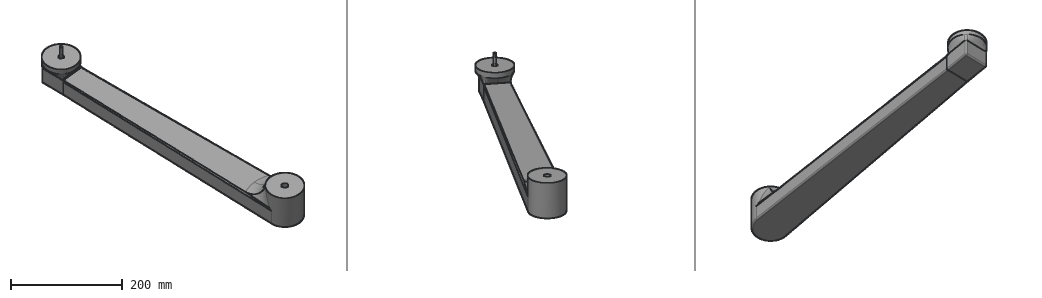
import cadquery as cq
import math

reach_x = 500.0
reach_y = 206.5
axis_distance = math.hypot(reach_x, reach_y)
arm_angle = math.degrees(math.atan2(reach_y, reach_x))

beam_top = 35.5
collar_bottom = 49.0
collar_top = 60.0
elbow_top = 70.0
pin_top = 83.0

joint_radius = 35.05
socket_half_width = 25.0
socket_front = 27.5

edge_radius = 3.0
corner_radius = 3.5
shoulder_drop = 3.5
shoulder_inset_at_socket = 1.0
shoulder_inset_at_elbow = 3.0

pin_radius = 2.5
socket_bore_radius = 5.0
socket_bore_depth = collar_top - collar_bottom
elbow_bore_radius = 6.0
elbow_bore_depth = elbow_top - beam_top

flare_reach = 74.0
flare_top_radius = joint_radius - 0.1
flare_root_radius = joint_radius - 0.15
flare_base_half_angle = 24.5
flare_top_half_angle = 44.0
flare_steps = 5

flare_height = elbow_top - beam_top
flare_depth = flare_reach - flare_top_radius
flare_radius = (flare_depth**2 + flare_height**2) / (2 * flare_height)
flare_sweep = math.asin(flare_depth / flare_radius)


def polar(radius, angle):
    """Point around the elbow axis; zero degrees points back along the beam."""
    turn = math.radians(angle)
    return (axis_distance - radius * math.cos(turn), radius * math.sin(turn))


def mirrored(point):
    return (point[0], -point[1])


def make_socket():
    """Square block that changes to a round collar, bored for the pin."""
    middle = (socket_front - socket_half_width) / 2
    block = (
        cq.Workplane("XY").center(middle, 0)
        .rect(socket_front + socket_half_width, 2 * socket_half_width).extrude(beam_top)
        .edges("|Z and <X").fillet(corner_radius)
        .faces("<Z").edges("not >X").fillet(edge_radius)
    )
    square_end = (
        cq.Sketch().rect(2 * socket_half_width, 2 * socket_half_width).vertices().fillet(corner_radius)
    )
    round_end = cq.Sketch().circle(joint_radius)
    neck_rise = cq.Location(cq.Vector(0, 0, collar_bottom - beam_top))
    neck = (
        cq.Workplane("XY").workplane(offset=beam_top)
        .placeSketch(square_end, round_end.moved(neck_rise)).loft(ruled=True)
    )
    collar = (
        cq.Workplane("XY").workplane(offset=collar_bottom)
        .circle(joint_radius).extrude(collar_top - collar_bottom)
    )
    bore = (
        cq.Workplane("XY").workplane(offset=collar_top)
        .circle(socket_bore_radius).extrude(-socket_bore_depth)
    )
    return block.union(neck).union(collar).cut(bore)


def make_pin():
    """Shaft that stands on the floor of the socket bore."""
    floor = collar_top - socket_bore_depth
    return cq.Workplane("XY").workplane(offset=floor).circle(pin_radius).extrude(pin_top - floor)


def beam_outline(level, half_width, end_radius):
    """Tapered outline whose sides run tangent into a round end about the elbow axis."""
    run = axis_distance - socket_front
    tangent_angle = math.degrees(
        math.atan2(half_width, run) + math.acos(end_radius / math.hypot(run, half_width))
    )
    corner = (socket_front, half_width)
    touch = polar(end_radius, tangent_angle)
    return (
        cq.Workplane("XY").workplane(offset=level)
        .moveTo(*mirrored(corner))
        .lineTo(*mirrored(touch))
        .threePointArc(polar(end_radius, 180), touch)
        .lineTo(*corner)
        .close()
    )


def make_beam():
    """Tapered beam with a rounded underside and sloped shoulders along the top."""
    shoulder = beam_top - shoulder_drop
    base = beam_outline(0, socket_half_width, joint_radius).extrude(shoulder)
    base = base.faces("<Z").edges("not <X").fillet(edge_radius)
    lower = beam_outline(shoulder, socket_half_width, joint_radius)
    upper = beam_outline(
        beam_top,
        socket_half_width - shoulder_inset_at_socket,
        joint_radius - shoulder_inset_at_elbow,
    )
    shoulders = cq.Solid.makeLoft([lower.val(), upper.val()], True)
    return base.union(cq.Workplane(shoulders))


def flare_section(step):
    """Level outline: an arc in front, then tangent lines running back into the column."""
    progress = step / flare_steps
    swing = flare_sweep * progress
    level = beam_top + flare_radius * (1 - math.cos(swing))
    radius = flare_reach - flare_radius * math.sin(swing)
    half_angle = flare_base_half_angle + (flare_top_half_angle - flare_base_half_angle) * progress
    touch_angle = half_angle + math.degrees(math.acos(flare_root_radius / radius))
    nose = polar(radius, 0)
    flare_end = polar(radius, half_angle)
    touch = polar(flare_root_radius, touch_angle)
    outline = (
        cq.Workplane("XY").workplane(offset=level)
        .moveTo(*nose)
        .threePointArc(polar(radius, half_angle / 2), flare_end)
        .lineTo(*touch)
        .lineTo(*mirrored(touch))
        .lineTo(*mirrored(flare_end))
        .threePointArc(polar(radius, -half_angle / 2), nose)
        .close()
    )
    return outline.val()


def make_flare():
    """Concave blend from the beam top up to the round top of the elbow."""
    sections = [flare_section(step) for step in range(flare_steps + 1)]
    return cq.Workplane(cq.Solid.makeLoft(sections))


def make_flare_foot():
    """Straight foot that closes the wedge between the flare and the sloped shoulders."""
    return cq.Workplane(cq.Face.makeFromWires(flare_section(0))).wires().toPending().extrude(-shoulder_drop)


def make_arm():
    """Beam, flare and elbow column in one piece, bored at the elbow."""
    elbow = cq.Workplane("XY").center(axis_distance, 0)
    column = elbow.circle(joint_radius).extrude(elbow_top).faces("<Z").edges().fillet(edge_radius)
    bore = elbow.workplane(offset=elbow_top).circle(elbow_bore_radius).extrude(-elbow_bore_depth)
    return make_beam().union(column).union(make_flare_foot()).union(make_flare()).cut(bore)


def placed(body):
    """Turn a body from the beam direction to its final heading."""
    return body.rotate((0, 0, 0), (0, 0, 1), arm_angle)


socket = placed(make_socket())
pin = placed(make_pin())
arm = placed(make_arm())

result = cq.Compound.makeCompound([socket.val(), pin.val(), arm.val()])